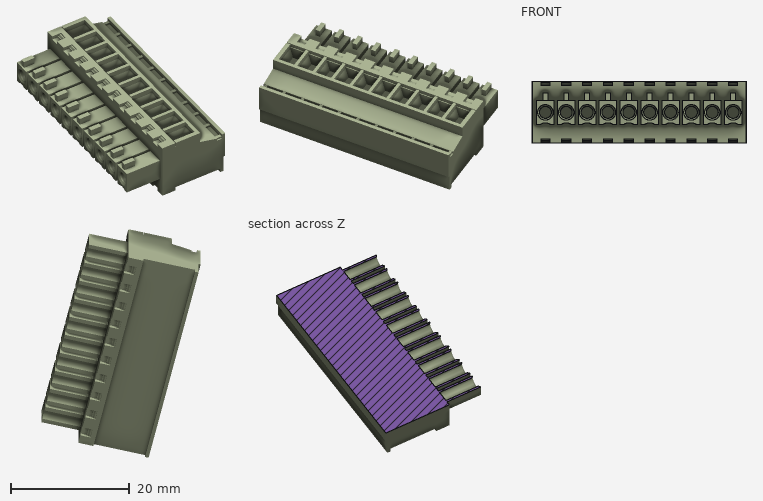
import cadquery as cq
import math


LENGTH = 36.07
BODY_HEIGHT = 10.42
BODY_DEPTH = 12.5
TOP_DEPTH = 7.55
SLOPE_TOP_Z = 8.45
SLOPE_FOOT_Z = 7.65
SLOPE_FOOT_Y = 10.9
FOOT_HEIGHT = 0.72
FRONT_FOOT_DEPTH = 2.6
REAR_FOOT_DEPTH = 0.6
BACK_STEP = 0.35
LIP_THICKNESS = 0.6
LIP_TOP_Z = 8.15

POLES = 10
END_POLE_INSET = 2.25
PITCH = (LENGTH - 2 * END_POLE_INSET) / (POLES - 1)
POLE_X = [END_POLE_INSET + i * PITCH for i in range(POLES)]
POLE_WIDTH = 2.95

FINGER_LENGTH = 6.6
FINGER_BOTTOM_Z = 3.17
FINGER_TOP_Z = 7.2
FINGER_MID_Z = (FINGER_BOTTOM_Z + FINGER_TOP_Z) / 2
BORE_DIAMETER = 2.02
BORE_MOUTH_DIAMETER = 2.6
BORE_CHAMFER = (BORE_MOUTH_DIAMETER - BORE_DIAMETER) / 2
GROOVE_DIAMETER = 2.78
GROOVE_DEPTH = 0.25

KEY_WIDTH = 0.83
KEY_LENGTH = 2.1
KEY_HEIGHT = 1.25
KEY_SETBACK = 0.2

TROUGH_FLOOR_Z = FINGER_TOP_Z
TROUGH_BACK_Y = BODY_DEPTH - LIP_THICKNESS
RIB_WIDTH = 0.55
RIB_HEIGHT = 0.35

SLIT_WIDTH = 0.15
SLIT_DEPTH = 0.72
POCKET_FRONT_Y = FRONT_FOOT_DEPTH + SLIT_WIDTH
POCKET_BACK_Y = 6.93
POCKET_STRAIGHT_DEPTH = 1.0
FUNNEL_DEPTH = 1.8
FUNNEL_SIDE_INSET = 0.55
FUNNEL_BACK_INSET = 1.5
FUNNEL_FRONT_INSET = 0.07

NOTCH_WIDTH = 1.55
NOTCH_LENGTH = 1.73
NOTCH_DEPTH = 0.7
NOTCH_STEP_RUN = 0.2
NOTCH_STEP_DROP = NOTCH_DEPTH / 3


def box(x0, x1, y0, y1, z0, z1):
    return cq.Workplane("XY").box(x1 - x0, y1 - y0, z1 - z0, centered=False).translate((x0, y0, z0))


def extrude_along_x(points, x_start, length):
    """Extrude a (Y, Z) outline in the +X direction."""
    return cq.Workplane("YZ", origin=(x_start, 0, 0)).polyline(points).close().extrude(length)


def make_body():
    lower_back_y = BODY_DEPTH - BACK_STEP
    rear_foot_y = lower_back_y - REAR_FOOT_DEPTH
    outline = [
        (0, 0),
        (0, BODY_HEIGHT),
        (TOP_DEPTH, BODY_HEIGHT),
        (TOP_DEPTH, SLOPE_TOP_Z),
        (SLOPE_FOOT_Y, SLOPE_FOOT_Z),
        (SLOPE_FOOT_Y, TROUGH_FLOOR_Z),
        (TROUGH_BACK_Y, TROUGH_FLOOR_Z),
        (TROUGH_BACK_Y, LIP_TOP_Z),
        (BODY_DEPTH, LIP_TOP_Z),
        (BODY_DEPTH, FINGER_BOTTOM_Z),
        (lower_back_y, FINGER_BOTTOM_Z),
        (lower_back_y, 0),
        (rear_foot_y, 0),
        (rear_foot_y, FOOT_HEIGHT),
        (FRONT_FOOT_DEPTH, FOOT_HEIGHT),
        (FRONT_FOOT_DEPTH, 0),
    ]
    return extrude_along_x(outline, 0, LENGTH)


def make_rib(x):
    return box(x - RIB_WIDTH / 2, x + RIB_WIDTH / 2, SLOPE_FOOT_Y, TROUGH_BACK_Y,
               TROUGH_FLOOR_Z, TROUGH_FLOOR_Z + RIB_HEIGHT)


def make_finger(x):
    """Solid plug finger with its groove and coding key, before boring."""
    half_width = POLE_WIDTH / 2
    radius = GROOVE_DIAMETER / 2
    groove_half = math.sqrt(radius**2 - (radius - GROOVE_DEPTH) ** 2)
    finger = (
        cq.Workplane("XZ")
        .moveTo(x - half_width, FINGER_TOP_Z)
        .lineTo(x - half_width, FINGER_BOTTOM_Z)
        .lineTo(x - groove_half, FINGER_BOTTOM_Z)
        .threePointArc((x, FINGER_BOTTOM_Z + GROOVE_DEPTH), (x + groove_half, FINGER_BOTTOM_Z))
        .lineTo(x + half_width, FINGER_BOTTOM_Z)
        .lineTo(x + half_width, FINGER_TOP_Z)
        .close()
        .extrude(FINGER_LENGTH)
    )
    key_front_y = -FINGER_LENGTH + KEY_SETBACK
    key = box(x - KEY_WIDTH / 2, x + KEY_WIDTH / 2, key_front_y, key_front_y + KEY_LENGTH,
              FINGER_TOP_Z, FINGER_TOP_Z + KEY_HEIGHT)
    return finger.union(key)


def make_bore(x):
    """Chamfered socket running the length of the finger."""
    half_section = [
        (0, 0),
        (BORE_MOUTH_DIAMETER / 2, 0),
        (BORE_DIAMETER / 2, BORE_CHAMFER),
        (BORE_DIAMETER / 2, FINGER_LENGTH),
        (0, FINGER_LENGTH),
    ]
    bore = cq.Workplane("XY").polyline(half_section).close().revolve(360, (0, 0), (0, 1))
    return bore.translate((x, -FINGER_LENGTH, FINGER_MID_Z))


def make_pocket(x):
    """Straight-sided opening that narrows to a flat-bottomed funnel."""
    half_width = POLE_WIDTH / 2
    shoulder_z = BODY_HEIGHT - POCKET_STRAIGHT_DEPTH
    opening = box(x - half_width, x + half_width, POCKET_FRONT_Y, POCKET_BACK_Y,
                  shoulder_z, BODY_HEIGHT)
    floor_front_y = POCKET_FRONT_Y + FUNNEL_FRONT_INSET
    floor_back_y = POCKET_BACK_Y - FUNNEL_BACK_INSET
    mid_y = (POCKET_FRONT_Y + POCKET_BACK_Y) / 2
    floor_mid_y = (floor_front_y + floor_back_y) / 2
    funnel = (
        cq.Workplane("XY", origin=(x, mid_y, shoulder_z))
        .rect(POLE_WIDTH, POCKET_BACK_Y - POCKET_FRONT_Y)
        .workplane(offset=-FUNNEL_DEPTH)
        .center(0, floor_mid_y - mid_y)
        .rect(POLE_WIDTH - 2 * FUNNEL_SIDE_INSET, floor_back_y - floor_front_y)
        .loft(ruled=True)
    )
    return opening.union(funnel)


def make_notch(x):
    """Stepped notch in the top front edge: ledge, ramp, ledge, then floor."""
    ramp_top_y = NOTCH_LENGTH - NOTCH_STEP_RUN
    ramp_foot_y = ramp_top_y - NOTCH_STEP_RUN
    lower_ledge_y = ramp_foot_y - NOTCH_STEP_RUN
    upper_ledge_z = BODY_HEIGHT - NOTCH_STEP_DROP
    lower_ledge_z = upper_ledge_z - NOTCH_STEP_DROP
    floor_z = BODY_HEIGHT - NOTCH_DEPTH
    outline = [
        (0, BODY_HEIGHT),
        (NOTCH_LENGTH, BODY_HEIGHT),
        (NOTCH_LENGTH, upper_ledge_z),
        (ramp_top_y, upper_ledge_z),
        (ramp_foot_y, lower_ledge_z),
        (lower_ledge_y, lower_ledge_z),
        (lower_ledge_y, floor_z),
        (0, floor_z),
    ]
    return extrude_along_x(outline, x - NOTCH_WIDTH / 2, NOTCH_WIDTH)


result = make_body()

for gap in range(POLES + 1):
    result = result.union(make_rib(POLE_X[0] + (gap - 0.5) * PITCH))

slit = box(0, LENGTH, FRONT_FOOT_DEPTH, POCKET_FRONT_Y, BODY_HEIGHT - SLIT_DEPTH, BODY_HEIGHT)
result = result.cut(slit)

for pole_x in POLE_X:
    top_notch = make_notch(pole_x)
    bottom_notch = top_notch.mirror("XY", (0, 0, BODY_HEIGHT / 2))
    result = result.union(make_finger(pole_x))
    result = result.cut(make_bore(pole_x))
    result = result.cut(make_pocket(pole_x))
    result = result.cut(top_notch).cut(bottom_notch)